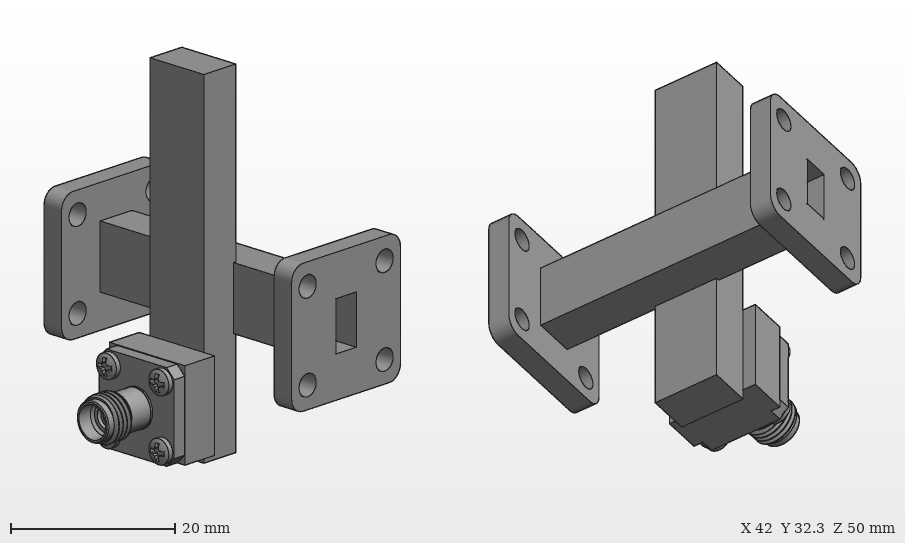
import cadquery as cq
import math


length = 42.0
guide_wide = 9.144
guide_narrow = 5.588
bore_wide = 7.112
bore_narrow = 3.556
flange_side = 19.05
flange_thickness = 3.0
flange_corner_radius = 2.0
flange_hole_diameter = 3.0
flange_hole_pitch_y = 13.46
flange_hole_pitch_z = 12.7

coupled_top = 30.0
coupled_bottom = -20.0
cap_thickness = 1.0
coupled_y = -5.14
coupled_front = coupled_y - guide_narrow / 2

connector_z = -12.2
block_side = 12.8
block_depth = 5.21
block_front = coupled_front - block_depth
plate_side = 12.7
plate_thickness = 1.85
plate_chamfer = 1.27
plate_front = block_front - plate_thickness
block_bottom = connector_z - plate_side / 2

overall_depth = 32.27
tip = -(overall_depth - flange_side / 2)
barrel_length = plate_front - tip
barrel_diameter = 5.33
barrel_edge = 0.15
collar_length = 0.28
collar_diameter = 5.45
mouth_diameter = 4.52
mouth_depth = 2.0
seat_diameter = 3.9
seat_depth = 2.4
socket_diameter = 2.92
socket_depth = 3.0
contact_diameter = 1.19
contact_tip_diameter = 0.94

thread_diameter = 6.35
thread_pitch = 25.4 / 36
thread_start = 3.75
thread_end = 6.68
thread_low_crest = 4.03
thread_root_width = 0.69
thread_crest_width = 0.12
thread_overlap = 0.02
thread_end_clearance = 0.1
thread_end_bevel = 0.4

screw_pitch = 8.89
head_diameter = 3.39
head_rim = 0.7
head_height = 1.2
recess_depth = 0.7
recess_width = 0.6
recess_length = 2.5
recess_floor_length = 1.9
recess_core_diameter = 1.19


def box_between(low, high):
    size = [b - a for a, b in zip(low, high)]
    return cq.Workplane("XY").box(*size, centered=False).translate(low)


def forward_plane(y, x=0.0, z=connector_z):
    """Plane facing -Y, with its local x along X and local y along Z."""
    return cq.Plane(origin=(x, y, z), xDir=(1, 0, 0), normal=(0, -1, 0))


def end_flange(x_low):
    return (
        cq.Workplane("YZ", origin=(x_low, 0, 0))
        .rect(flange_side, flange_side)
        .extrude(flange_thickness)
        .edges("|X")
        .fillet(flange_corner_radius)
        .faces(">X")
        .workplane(origin=(0, 0, 0))
        .rect(flange_hole_pitch_y, flange_hole_pitch_z, forConstruction=True)
        .vertices()
        .hole(flange_hole_diameter)
    )


def through_guide():
    guide = cq.Workplane("YZ").rect(guide_narrow, guide_wide).extrude(length / 2, both=True)
    for x_low in (-length / 2, length / 2 - flange_thickness):
        guide = guide.union(end_flange(x_low))
    return guide


def coupled_section(z_low, z_high):
    half_width = guide_wide / 2
    back = coupled_front + guide_narrow
    return box_between((-half_width, coupled_front, z_low), (half_width, back, z_high))


def connector_mount():
    half_width = block_side / 2
    block = box_between(
        (-half_width, block_front, block_bottom),
        (half_width, coupled_front, block_bottom + block_side),
    )
    plate = (
        cq.Workplane(forward_plane(block_front))
        .rect(plate_side, plate_side)
        .extrude(plate_thickness)
        .edges("|Y")
        .chamfer(plate_chamfer)
    )
    return block.union(plate)


def thread():
    """Helical ridge around local Z, bevelled at both ends of the threaded length."""
    root = barrel_diameter / 2 - thread_overlap
    crest = thread_diameter / 2
    lead_in = thread_low_crest - thread_pitch
    turns = math.ceil((thread_end - lead_in) / thread_pitch) + 1
    path = cq.Wire.makeHelix(thread_pitch, thread_pitch * turns, barrel_diameter / 2)
    ridge = (
        cq.Workplane("XZ")
        .polyline(
            [
                (root, -thread_root_width / 2),
                (crest, -thread_crest_width / 2),
                (crest, thread_crest_width / 2),
                (root, thread_root_width / 2),
            ]
        )
        .close()
        .sweep(cq.Workplane(path), isFrenet=True)
        .rotate((0, 0, 0), (0, 0, 1), -90)
        .translate((0, 0, lead_in))
    )
    threaded_length = (
        cq.Workplane("XY", origin=(0, 0, thread_start))
        .circle(crest + thread_end_clearance)
        .extrude(thread_end - thread_start)
        .edges()
        .chamfer(thread_end_bevel)
    )
    return ridge.intersect(threaded_length)


def collar():
    """Short, slightly thicker root of the barrel, next to the plate."""
    return cq.Workplane("XY").circle(collar_diameter / 2).extrude(collar_length)


def barrel():
    """Barrel along local Z, with its stepped socket and centre contact."""
    floor = barrel_length - socket_depth
    body = (
        cq.Workplane("XY", origin=(0, 0, collar_length))
        .circle(barrel_diameter / 2)
        .extrude(barrel_length - collar_length)
        .faces(">Z")
        .edges()
        .chamfer(barrel_edge)
        .union(thread())
    )
    socket = (
        cq.Workplane("XZ")
        .polyline(
            [
                (0, barrel_length),
                (mouth_diameter / 2, barrel_length),
                (mouth_diameter / 2, barrel_length - mouth_depth),
                (seat_diameter / 2, barrel_length - seat_depth),
                (socket_diameter / 2, barrel_length - seat_depth),
                (socket_diameter / 2, floor),
                (0, floor),
            ]
        )
        .close()
        .revolve(360, (0, 0, 0), (0, 1, 0))
    )
    contact = (
        cq.Workplane("XY", origin=(0, 0, floor))
        .circle(contact_diameter / 2)
        .extrude(socket_depth - seat_depth)
        .faces(">Z")
        .chamfer((contact_diameter - contact_tip_diameter) / 2)
    )
    return body.cut(socket).union(contact)


def screw_head():
    """Domed head standing on local Z = 0, with a cross recess."""
    radius = head_diameter / 2
    dome_rise = head_height - head_rim
    dome_radius = (radius**2 + dome_rise**2) / (2 * dome_rise)
    dome_mid = (radius / 2, head_height - dome_radius + math.sqrt(dome_radius**2 - radius**2 / 4))
    head = (
        cq.Workplane("XZ")
        .lineTo(radius, 0)
        .lineTo(radius, head_rim)
        .threePointArc(dome_mid, (0, head_height))
        .close()
        .revolve(360, (0, 0, 0), (0, 1, 0))
    )
    recess_floor = head_height - recess_depth
    slot = (
        cq.Workplane("XZ")
        .polyline(
            [
                (-recess_floor_length / 2, recess_floor),
                (recess_floor_length / 2, recess_floor),
                (recess_length / 2, head_height),
                (-recess_length / 2, head_height),
            ]
        )
        .close()
        .extrude(recess_width / 2, both=True)
    )
    core = (
        cq.Workplane("XY", origin=(0, 0, recess_floor))
        .circle(recess_core_diameter / 2)
        .extrude(recess_depth)
    )
    return head.cut(slot).cut(slot.rotate((0, 0, 0), (0, 0, 1), 90)).cut(core)


def place(shape, x=0.0, z=0.0):
    """Move a part built along local Z onto the plate front, pointing along -Y."""
    plane = forward_plane(plate_front, x, connector_z + z)
    return shape.val().moved(cq.Location(plane))


lower_seam = coupled_bottom + cap_thickness
upper_seam = coupled_top - cap_thickness

result = through_guide().union(coupled_section(lower_seam, upper_seam))
result = result.cut(cq.Workplane("YZ").rect(bore_narrow, bore_wide).extrude(length, both=True))
result = result.union(connector_mount()).union(place(collar())).union(place(barrel()))
for x in (-screw_pitch / 2, screw_pitch / 2):
    for z in (-screw_pitch / 2, screw_pitch / 2):
        result = result.union(place(screw_head(), x, z))

for z_low, z_high in ((coupled_bottom, lower_seam), (upper_seam, coupled_top)):
    result = result.union(coupled_section(z_low, z_high), clean=False)